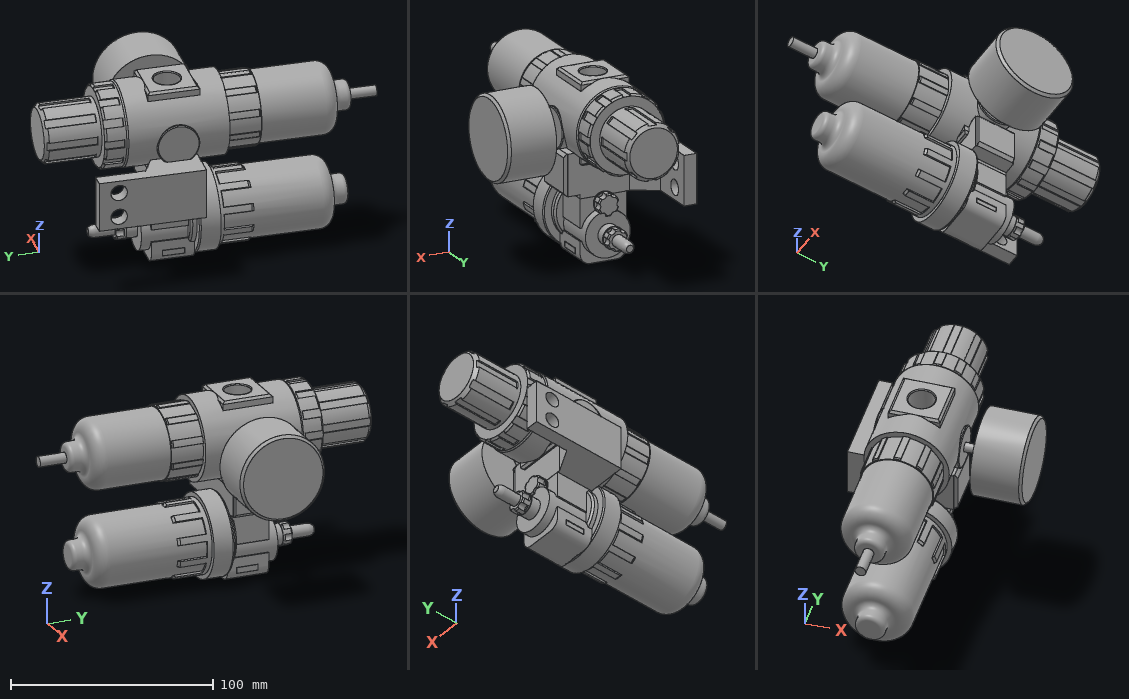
import cadquery as cq
import math


UNIT_SPACING = 52.5
BODY_RADIUS = 22.0
EDGE_BREAK = 0.5
EDGE_BREAK_LENGTH = 0.9

BOWL_RADIUS = 18.5
BOWL_FILLET = 6.5
NECK_RADIUS = 7.8
NECK_LENGTH = 3.3
NECK_END_FILLET = 2.3
NECK_ROOT_FILLET = 3.3

COLLAR_RADIUS = 19.5
COLLAR_RIBS = 10
RIB_WIDTH = 3.6
RIB_BEVEL_LENGTH = 1.2

CAP_RADIUS = 5.9
CAP_LENGTH = 5.2
CAP_CHAMFER = 0.7
SCALLOPS = 6
SCALLOP_RADIUS = 1.9
SCALLOP_OFFSET = 6.4
SCALLOP_LENGTH = 4.2

BODY_BACK = 25.5
BODY_FRONT = -26.3
SLEEVE_FRONT = -43.5
SLEEVE_RADIUS = 19.0
REGULATOR_TIP = -92.7
DRAIN_RADIUS = 2.8
DRAIN_FRONT = -107.0

KNOB_RADIUS = 15.3
KNOB_BACK = 66.4
KNOB_CHAMFER = 2.0
KNOB_FLUTES = 8
KNOB_FLUTE_FRONT = 39.3
RING_RADIUS = 21.5
RING_BACK = 37.5
RING_CHAMFER = 1.0
RING_FLUTES = 12
RING_FLUTE_FRONT = 27.4
FLUTE_WIDTH = 4.3
FLUTE_DEPTH = 1.0

PAD_SIZE = 26.7
PAD_CHAMFER = 1.2
PORT_RADIUS = 6.8
PORT_CHAMFER = 0.5
PORT_MOUTH_ANGLE = 45
PORT_DEPTH = 13.9

GAUGE_Z = -4.3
BOSS_RADIUS = 11.0
BOSS_REACH = 22.4
GAUGE_STEM_RADIUS = 2.5
GAUGE_RADIUS = 22.7
GAUGE_BACK = 31.5
GAUGE_FACE = 58.0
GAUGE_CHAMFER = 1.4

BRACKET_Z = -UNIT_SPACING / 2
BRACKET_LEFT = -35.2
BRACKET_REAR = 44.2
BLOCK_FRONT = -10.7
BLOCK_REAR = 11.5
PLATE_THICKNESS = 7.1
GUSSET_REAR = 18.5
GUSSET_RIGHT = -14.4
BLOCK_RIGHT = 12.8
TENON_HEIGHT = 22.4
TENON_RIGHT = 19.5
TENON_END_RIGHT = 21.7
TENON_END_CHAMFER = 1.7
TENON_END_STEP = 0.7
MOUNT_HOLE_RADIUS = 4.2
MOUNT_HOLE_Y = 34.0
MOUNT_HOLE_SPACING = 13.3

FLANGE_FRONT = -21.8
LUBE_RIB_BACK = -24.3
LUBE_RIB_FRONT = -39.7
LUBRICATOR_TIP = -91.2
SEAT_RADIUS = 17.5
SEAT_BACK = -7.5
SEAT_CHAMFER = 1.0
PORT_BLOCK_HALF_WIDTH = 12.8
PORT_BLOCK_FILLET = 5.5
SLOT_TOP = -2.6
SLOT_BOTTOM = -9.5
RECESS_LENGTH = 11.5
RECESS_DEPTH = 0.3
RECESS_TOP = -14.9
RECESS_BOTTOM = -18.0
TURRET_RADIUS = 12.5
TURRET_Z = (SLOT_TOP + SLOT_BOTTOM) / 2
TURRET_BACK = 16.5
CAP_NECK_RADIUS = 5.5
NOZZLE_CAP_BACK = 27.4
NOZZLE_RADIUS = 3.3
NOZZLE_BACK = 40.5
NOZZLE_SHOULDER = 37.5
NOZZLE_END_RADIUS = 1.9
PLUG_Z = 9.4
PLUG_CAP_BACK = 17.5


def rod(radius, front, back, z=0.0):
    """Cylinder along Y between two Y positions."""
    return cq.Workplane("XZ", origin=(0, front, z)).circle(radius).extrude(front - back)


def cross_rod(radius, left, right, z):
    """Cylinder along X between two X positions."""
    return cq.Workplane("YZ", origin=(left, 0, z)).circle(radius).extrude(right - left)


def block(x_range, y_range, z_range):
    """Box given by its limits on each axis."""
    size = [limits[1] - limits[0] for limits in (x_range, y_range, z_range)]
    corner = (x_range[0], y_range[0], z_range[0])
    return cq.Workplane("XY").box(*size, centered=False).translate(corner)


def around_axis(feature, count):
    """Copies of a feature spaced evenly around the Y axis, starting with the feature itself."""
    copies = cq.Workplane("XY")
    for index in range(count):
        turned = feature.rotate((0, 0, 0), (0, 1, 0), index * 360 / count)
        copies = copies.add(turned)
    return copies.combine()


def bowl(tip, back):
    """Round-shouldered bowl with a filleted neck, turned about Y."""
    diagonal = math.sqrt(0.5)
    neck_front = tip + NECK_END_FILLET
    neck_back = neck_front + NECK_LENGTH
    shoulder = neck_back + NECK_ROOT_FILLET
    side_front = shoulder + BOWL_FILLET
    root_radius = NECK_RADIUS + NECK_ROOT_FILLET
    end_radius = NECK_RADIUS - NECK_END_FILLET
    shoulder_radius = BOWL_RADIUS - BOWL_FILLET
    end_middle = (end_radius + NECK_END_FILLET * diagonal, neck_front - NECK_END_FILLET * diagonal)
    root_middle = (root_radius - NECK_ROOT_FILLET * diagonal, neck_back + NECK_ROOT_FILLET * diagonal)
    side_middle = (shoulder_radius + BOWL_FILLET * diagonal, side_front - BOWL_FILLET * diagonal)
    profile = (
        cq.Workplane("XY")
        .moveTo(0, tip)
        .lineTo(end_radius, tip)
        .threePointArc(end_middle, (NECK_RADIUS, neck_front))
        .lineTo(NECK_RADIUS, neck_back)
        .threePointArc(root_middle, (root_radius, shoulder))
        .lineTo(shoulder_radius, shoulder)
        .threePointArc(side_middle, (BOWL_RADIUS, side_front))
        .lineTo(BOWL_RADIUS, back)
        .lineTo(0, back)
        .close()
    )
    return profile.revolve(360, (0, 0, 0), (0, 1, 0))


def barrel(front, back):
    """Full-diameter barrel with a narrow chamfer around its back edge."""
    profile = [
        (0, front),
        (BODY_RADIUS, front),
        (BODY_RADIUS, back - EDGE_BREAK_LENGTH),
        (BODY_RADIUS - EDGE_BREAK, back),
        (0, back),
    ]
    return cq.Workplane("XY").polyline(profile).close().revolve(360, (0, 0, 0), (0, 1, 0))


def collar_ribs(front, back):
    """Ribs along the bowl, each bevelled at its front end."""
    root = 2 * BOWL_RADIUS - COLLAR_RADIUS
    profile = [
        (back, root),
        (back, COLLAR_RADIUS),
        (front + RIB_BEVEL_LENGTH, COLLAR_RADIUS),
        (front, BOWL_RADIUS),
        (front, root),
    ]
    rib = cq.Workplane("YZ").polyline(profile).close().extrude(RIB_WIDTH / 2, both=True)
    trim = rod(COLLAR_RADIUS, front, back)
    return around_axis(rib.intersect(trim), COLLAR_RIBS)


def fluted_drum(radius, front, back, chamfer, flutes, flute_front):
    """Drum along Y, chamfered at the back, with flat-bottomed flutes open to the back."""
    drum = rod(radius, front, back).faces(">Y").chamfer(chamfer)
    half_width = FLUTE_WIDTH / 2
    flute = block((-half_width, half_width), (flute_front, back), (radius - FLUTE_DEPTH, radius))
    return drum.cut(around_axis(flute, flutes))


def port_pad():
    """Square pad on top of the regulator, bevelled around its outer face."""
    pad = cq.Workplane("XY").rect(PAD_SIZE, PAD_SIZE).extrude(BODY_RADIUS)
    return pad.faces(">Z").chamfer(PAD_CHAMFER)


def gauge():
    """Pressure gauge on its stem, to the right of the regulator."""
    dial = cross_rod(GAUGE_RADIUS, GAUGE_BACK, GAUGE_FACE, GAUGE_Z)
    dial = dial.faces(">X").chamfer(GAUGE_CHAMFER)
    return dial.union(cross_rod(GAUGE_STEM_RADIUS, 0, GAUGE_BACK, GAUGE_Z))


def bracket():
    """Mounting plate, the block between the two units, and the tenon on its right."""
    plate_right = BRACKET_LEFT + PLATE_THICKNESS
    outline = [
        (BRACKET_LEFT, BLOCK_FRONT),
        (BLOCK_RIGHT, BLOCK_FRONT),
        (BLOCK_RIGHT, BLOCK_REAR),
        (GUSSET_RIGHT, BLOCK_REAR),
        (plate_right, GUSSET_REAR),
        (plate_right, BRACKET_REAR),
        (BRACKET_LEFT, BRACKET_REAR),
    ]
    bottom = BRACKET_Z - PAD_SIZE / 2
    arm = cq.Workplane("XY", origin=(0, 0, bottom)).polyline(outline).close().extrude(PAD_SIZE)

    tenon_z = (BRACKET_Z - TENON_HEIGHT / 2, BRACKET_Z + TENON_HEIGHT / 2)
    tenon = block((BLOCK_RIGHT, TENON_RIGHT), (BLOCK_FRONT, BLOCK_REAR), tenon_z)
    end_y = (BLOCK_FRONT + TENON_END_STEP, BLOCK_REAR - TENON_END_STEP)
    tenon_end = block((TENON_RIGHT, TENON_END_RIGHT), end_y, tenon_z)
    tenon_end = tenon_end.edges("|Y and >X").chamfer(TENON_END_CHAMFER)

    half_spacing = MOUNT_HOLE_SPACING / 2
    for hole_z in (BRACKET_Z - half_spacing, BRACKET_Z + half_spacing):
        hole = cross_rod(MOUNT_HOLE_RADIUS, BRACKET_LEFT, plate_right, hole_z)
        arm = arm.cut(hole.translate((0, MOUNT_HOLE_Y, 0)))
    return arm.union(tenon).union(tenon_end)


def regulator():
    """Filter-regulator: bowl, body, adjusting knob, port pads, gauge and bracket."""
    body = barrel(BODY_FRONT, BODY_BACK + EDGE_BREAK_LENGTH)
    body = body.union(bowl(REGULATOR_TIP, 0))
    body = body.union(rod(DRAIN_RADIUS, DRAIN_FRONT, REGULATOR_TIP))
    body = body.union(rod(SLEEVE_RADIUS, SLEEVE_FRONT, BODY_FRONT))
    body = body.union(collar_ribs(SLEEVE_FRONT, BODY_FRONT))
    body = body.union(
        fluted_drum(RING_RADIUS, BODY_BACK, RING_BACK, RING_CHAMFER, RING_FLUTES, RING_FLUTE_FRONT)
    )
    body = body.union(
        fluted_drum(KNOB_RADIUS, RING_BACK, KNOB_BACK, KNOB_CHAMFER, KNOB_FLUTES, KNOB_FLUTE_FRONT)
    )
    pad = port_pad()
    body = body.union(pad).union(pad.mirror("XY"))
    bosses = cross_rod(BOSS_RADIUS, -BOSS_REACH, BOSS_REACH, GAUGE_Z)
    body = body.union(bosses.faces("<X or >X").chamfer(EDGE_BREAK))
    body = body.union(gauge()).union(bracket())

    port = cq.Workplane("XY", origin=(0, 0, BODY_RADIUS)).circle(PORT_RADIUS).extrude(-PORT_DEPTH)
    body = body.cut(port)
    mouth = cq.Workplane("XY", origin=(0, 0, BODY_RADIUS)).circle(PORT_RADIUS + PORT_CHAMFER)
    return body.cut(mouth.extrude(-PORT_CHAMFER, taper=PORT_MOUTH_ANGLE))


def scalloped_cap(back, z):
    """Screw cap along Y with scallops around its back end; one scallop faces each side."""
    cap = rod(CAP_RADIUS, back - CAP_LENGTH, back).faces(">Y").chamfer(CAP_CHAMFER)
    scallop = rod(SCALLOP_RADIUS, back - SCALLOP_LENGTH, back)
    scallop = scallop.translate((SCALLOP_OFFSET, 0, 0))
    return cap.cut(around_axis(scallop, SCALLOPS)).translate((0, 0, z))


def port_block():
    """Flat-sided block behind the flange, slotted along both sides, with rounded bottom edges."""
    sides = (-PORT_BLOCK_HALF_WIDTH, PORT_BLOCK_HALF_WIDTH)
    depth = (BLOCK_FRONT, BLOCK_REAR)
    bracket_underside = UNIT_SPACING + BRACKET_Z - PAD_SIZE / 2
    upper = block(sides, depth, (SLOT_TOP, bracket_underside))
    lower = block(sides, depth, (-BODY_RADIUS, SLOT_BOTTOM))
    lower = lower.edges("|Y and <Z").fillet(PORT_BLOCK_FILLET)
    recess_y = (-RECESS_LENGTH / 2, RECESS_LENGTH / 2)
    floor = PORT_BLOCK_HALF_WIDTH - RECESS_DEPTH
    recess_z = (RECESS_BOTTOM, RECESS_TOP)
    for recess_x in ((-PORT_BLOCK_HALF_WIDTH, -floor), (floor, PORT_BLOCK_HALF_WIDTH)):
        lower = lower.cut(block(recess_x, recess_y, recess_z))
    return upper.union(lower)


def nozzle():
    """Round-ended nozzle behind its screw cap, turned about Y."""
    profile = (
        cq.Workplane("XY")
        .moveTo(0, NOZZLE_CAP_BACK)
        .lineTo(NOZZLE_RADIUS, NOZZLE_CAP_BACK)
        .lineTo(NOZZLE_RADIUS, NOZZLE_SHOULDER)
        .tangentArcPoint((NOZZLE_END_RADIUS, NOZZLE_BACK), relative=False)
        .lineTo(0, NOZZLE_BACK)
        .close()
    )
    return profile.revolve(360, (0, 0, 0), (0, 1, 0)).translate((0, 0, TURRET_Z))


def lubricator():
    """Lubricator: bowl, flange, port block, turret, nozzle and filler plug."""
    body = barrel(FLANGE_FRONT, BLOCK_FRONT)
    body = body.union(bowl(LUBRICATOR_TIP, BLOCK_FRONT))
    body = body.union(rod(COLLAR_RADIUS, LUBE_RIB_BACK, FLANGE_FRONT))
    body = body.union(collar_ribs(LUBE_RIB_FRONT, LUBE_RIB_BACK))
    body = body.union(rod(SEAT_RADIUS, BLOCK_FRONT, SEAT_BACK).faces(">Y").chamfer(SEAT_CHAMFER))
    body = body.union(port_block())
    body = body.union(rod(TURRET_RADIUS, BLOCK_FRONT, TURRET_BACK, TURRET_Z))

    body = body.union(rod(CAP_NECK_RADIUS, TURRET_BACK, NOZZLE_CAP_BACK - CAP_LENGTH, TURRET_Z))
    body = body.union(scalloped_cap(NOZZLE_CAP_BACK, TURRET_Z))
    body = body.union(nozzle())

    body = body.union(rod(CAP_NECK_RADIUS, BLOCK_REAR, PLUG_CAP_BACK - CAP_LENGTH, PLUG_Z))
    body = body.union(scalloped_cap(PLUG_CAP_BACK, PLUG_Z))

    return body.translate((0, 0, -UNIT_SPACING)).cut(bracket())


filter_regulator = regulator().solids()
oil_lubricator = lubricator().solids()

result = cq.Compound.makeCompound([filter_regulator.val(), oil_lubricator.val()])